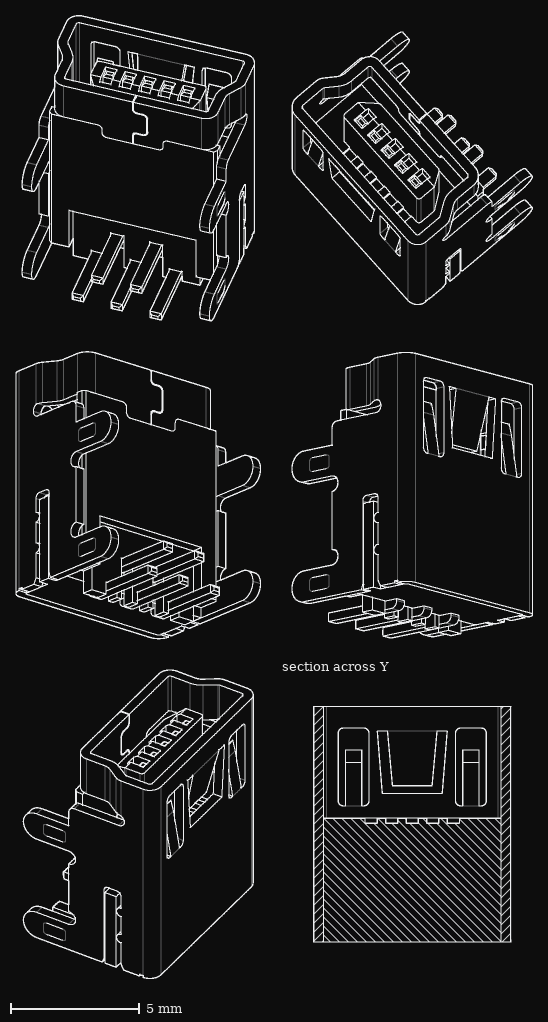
import cadquery as cq
import math


TOTAL_HEIGHT = 9.7
SHELL_WIDTH = 7.7
SHELL_DEPTH = 3.92
SHELL_HEIGHT = 9.2
WALL = 0.4
BEND_RADIUS = 0.5
SHELL_BOTTOM = TOTAL_HEIGHT - SHELL_HEIGHT
HALF_WIDTH = SHELL_WIDTH / 2
INNER_HALF_WIDTH = HALF_WIDTH - WALL
INNER_BACK = SHELL_DEPTH - WALL
INNER_BEND_RADIUS = BEND_RADIUS - WALL

MOUTH_HEIGHT = 1.7
MOUTH_BOTTOM = TOTAL_HEIGHT - MOUTH_HEIGHT
MOUTH_FRONT_HALF_WIDTH = 3.35
SHOULDER_TOP_Y = 2.24
SHOULDER_LOW_Y = 1.5
MOUTH_TAB_WIDTH = 2.5
MOUTH_TAB_LENGTH = 0.58
MOUTH_TAB_RADIUS = 0.19

SEAM_GAP = 0.04
SEAM_KNOB_LENGTH = 0.58
SEAM_KNOB_TOP = 9.12
SEAM_KNOB_BOTTOM = 8.04
SEAM_RADIUS = 0.17

SLIT_HEIGHT = 0.51
SLIT_END_Y = 2.55
SIDE_CORNER_RADIUS = 0.25

LEG_REACH = 2.09
LEG_WIDTH = 1.24
UPPER_LEG_Z = 5.94
LOWER_LEG_Z = SHELL_BOTTOM + LEG_WIDTH / 2
RELIEF_RADIUS = 0.31
DIMPLE_LENGTH = 1.02
DIMPLE_WIDTH = 0.55
DIMPLE_HEIGHT = 0.12
DIMPLE_CORNER_RADIUS = 0.13
DIMPLE_Y = -0.65

GRIP_SLOT_BACK = 2.4
GRIP_SLOT_FRONT = 1.61
GRIP_SLOT_TOP = 4.25
GRIP_SLOT_RADIUS = 0.19
GRIP_BARB_RADIUS = 0.2
GRIP_BARB_HEIGHTS = (1.99, 3.27)
GRIP_FLARE = 0.13
GRIP_FLARE_HEIGHT = 0.24
GRIP_LEAD_IN = 0.08
GRIP_LEAD_IN_HEIGHT = 0.2
EDGE_NOTCH_LENGTH = 0.165
EDGE_NOTCH_HEIGHT = 0.08

LATCH_TOP = 8.73
LATCH_BOTTOM = 6.6
LATCH_TOP_HALF_WIDTH = 0.97
LATCH_TIP_HALF_WIDTH = 0.78
LATCH_SIDE_GAP = 0.39
LATCH_END_GAP = 0.29
LATCH_REACH = 0.47

FINGER_X = 2.29
FINGER_WIDTH = 0.64
FINGER_WINDOW_WIDTH = 1.19
FINGER_WINDOW_TOP = 8.85
FINGER_WINDOW_BOTTOM = 5.82
FINGER_WINDOW_RADIUS = 0.19
FINGER_TIP_Z = 8.0
FINGER_PEAK_Z = 7.52
FINGER_REACH = 0.28

FLOOR_Z = 5.335
FRONT_CHAMFER = 0.12
RIB_BACK = 2.17
RIB_FRONT = 1.66
RIB_TOP = 3.96
LIP_BOTTOM = 0.93
FOOT_WIDTH = 5.22
FOOT_FRONT = 0.49
FOOT_BACK = 1.01
FOOT_RECESS_TOP = 2.94

TONGUE_TOP = 9.0
TONGUE_HALF_WIDTH = 2.26
TONGUE_FRONT_HALF_WIDTH = 1.77
TONGUE_BACK = 2.42
TONGUE_BEVEL_Y = 1.6
TONGUE_FRONT = 0.91
TONGUE_RADIUS = 0.13
TONGUE_BEVEL_DROP = 0.485

PITCH = 0.8
CONTACT_COUNT = 5
CONTACT_WIDTH = 0.47
CONTACT_THICKNESS = 0.35
CONTACT_TIP_CHAMFER = 0.1
PIN_END_Y = -2.06
LOWER_PIN_BACK = 1.59
LOWER_PIN_BEND_RADIUS = 0.27
UPPER_PIN_TOP = 1.72
PIN_NOTCH_WIDTH = 0.55
POCKET_BACK = 2.18
POCKET_FRONT = 1.45
POCKET_BOTTOM = 8.15
CONTACT_TIP_Z = 8.89
FLOOR_RECESS_BACK = 2.84
FLOOR_RECESS_DEPTH = 0.19


def block(x0, x1, y0, y1, z0, z1):
    """Box between two opposite corners."""
    return cq.Workplane("XY").box(x1 - x0, y1 - y0, z1 - z0, centered=False).translate((x0, y0, z0))


def centred_block(width, y0, y1, z0, z1):
    """Box that is symmetric about X = 0."""
    return block(-width / 2, width / 2, y0, y1, z0, z1)


def side_plate(points, x0, x1):
    """Outline of (Y, Z) points, extruded along X from x0 to x1."""
    return cq.Workplane("YZ").polyline(points).close().extrude(x1 - x0).translate((x0, 0, 0))


def front_plate(points, y0, y1):
    """Outline of (X, Z) points, extruded along Y from y0 to y1."""
    return cq.Workplane("XZ").polyline(points).close().extrude(y0 - y1).translate((0, y0, 0))


def mirrored_points(right_points):
    """Closed outline symmetric about X = 0 from its right half."""
    return right_points + [(-x, y) for x, y in reversed(right_points)]


def both_sides(solid):
    """The solid together with its mirror image about X = 0."""
    return solid.union(solid.mirror("YZ"))


def mouth_front_tab():
    """Drop-down tab in the middle of the front wall, with rounded roots and corners."""
    half = MOUTH_TAB_WIDTH / 2
    margin = 2 * MOUTH_TAB_RADIUS
    outline = mirrored_points([
        (half, MOUTH_BOTTOM - MOUTH_TAB_LENGTH),
        (half, MOUTH_BOTTOM),
        (half + margin, MOUTH_BOTTOM),
        (half + margin, MOUTH_BOTTOM + margin),
    ])
    rounded = cq.selectors.BoxSelector(
        (-half - 0.1, -0.1, MOUTH_BOTTOM - MOUTH_TAB_LENGTH - 0.1), (half + 0.1, WALL + 0.1, MOUTH_BOTTOM + 0.1)
    )
    return front_plate(outline, 0, WALL).edges("|Y").edges(rounded).fillet(MOUTH_TAB_RADIUS)


def seam():
    """Thin gap that follows the interlocking ends of the bent sheet."""
    left_end = -SEAM_KNOB_LENGTH
    bottom = MOUTH_BOTTOM - MOUTH_TAB_LENGTH - 0.1
    top = TOTAL_HEIGHT + 0.1
    outline = [
        (left_end, bottom), (0, bottom),
        (0, SEAM_KNOB_BOTTOM), (SEAM_KNOB_LENGTH, SEAM_KNOB_BOTTOM),
        (SEAM_KNOB_LENGTH, SEAM_KNOB_TOP), (0, SEAM_KNOB_TOP),
        (0, top), (left_end, top),
    ]
    knob_corners = cq.selectors.BoxSelector(
        (-0.1, -0.1, SEAM_KNOB_BOTTOM - 0.1), (SEAM_KNOB_LENGTH + 0.1, WALL + 0.1, SEAM_KNOB_TOP + 0.1)
    )
    left_end_of_sheet = front_plate(outline, 0, WALL).edges("|Y").edges(knob_corners).fillet(SEAM_RADIUS)
    grown = left_end_of_sheet.faces("<Y").wires().toPending().offset2D(SEAM_GAP).extrude(-WALL)
    return grown.cut(left_end_of_sheet).intersect(block(-0.1, 2 * SEAM_KNOB_LENGTH, 0, WALL, bottom, top))


def mouth_prism(inset):
    """Prism with the outline of the mouth, moved inwards by the inset."""
    shoulder_angle = math.atan2(HALF_WIDTH - MOUTH_FRONT_HALF_WIDTH, SHOULDER_TOP_Y - SHOULDER_LOW_Y)
    shoulder_rise = inset * math.tan(shoulder_angle / 2)
    low_y = SHOULDER_LOW_Y + shoulder_rise
    outline = mirrored_points([
        (MOUTH_FRONT_HALF_WIDTH - inset, inset),
        (MOUTH_FRONT_HALF_WIDTH - inset, low_y),
        (HALF_WIDTH - inset, SHOULDER_TOP_Y + shoulder_rise),
        (HALF_WIDTH - inset, SHELL_DEPTH - inset),
    ])
    hollow_bends = cq.selectors.BoxSelector(
        (-HALF_WIDTH, low_y - 0.1, 0), (HALF_WIDTH, low_y + 0.1, TOTAL_HEIGHT)
    )
    vertical = cq.selectors.StringSyntaxSelector("|Z")
    prism = cq.Workplane("XY").workplane(offset=MOUTH_BOTTOM).polyline(outline).close().extrude(MOUTH_HEIGHT)
    prism = prism.edges(vertical - hollow_bends).fillet(BEND_RADIUS - inset)
    return prism.edges(vertical).edges(hollow_bends).fillet(BEND_RADIUS + inset)


def sheet_body():
    """Closed tube around the plug opening above a sleeve that is open towards the board."""
    sleeve = centred_block(SHELL_WIDTH, 0, SHELL_DEPTH, SHELL_BOTTOM, MOUTH_BOTTOM)
    sleeve = sleeve.edges("|Z and >Y").fillet(BEND_RADIUS)
    sleeve_cavity = centred_block(2 * INNER_HALF_WIDTH, 0, INNER_BACK, SHELL_BOTTOM, MOUTH_BOTTOM)
    sleeve_cavity = sleeve_cavity.edges("|Z and >Y").fillet(INNER_BEND_RADIUS)
    body = mouth_prism(0).union(sleeve).cut(sleeve_cavity).cut(mouth_prism(WALL))
    return body.union(mouth_front_tab()).cut(seam())


def side_slit():
    """Slit under one side of the mouth, with a round end and a rounded wall corner below it."""
    bottom = MOUTH_BOTTOM - SLIT_HEIGHT
    slit = block(INNER_HALF_WIDTH, HALF_WIDTH, 0, SLIT_END_Y, bottom, MOUTH_BOTTOM)
    slit = slit.edges("|X and >Y").fillet(SIDE_CORNER_RADIUS)
    radius = SIDE_CORNER_RADIUS
    corner = block(INNER_HALF_WIDTH, HALF_WIDTH, 0, radius, bottom - radius, bottom)
    rounding = cq.Workplane("YZ").center(radius, bottom - radius).circle(radius).extrude(HALF_WIDTH)
    return slit.union(corner.cut(rounding))


def leg(z):
    """Round-ended board leg."""
    overlap = LEG_WIDTH
    plate = block(INNER_HALF_WIDTH, HALF_WIDTH, -LEG_REACH, overlap, z - LEG_WIDTH / 2, z + LEG_WIDTH / 2)
    return plate.edges("|X and <Y").fillet(LEG_WIDTH / 2 - 0.001)


def dimple(z):
    """Smooth dome over a rounded rectangle, on a base that sinks through the sheet."""
    half_length = DIMPLE_LENGTH / 2
    half_width = DIMPLE_WIDTH / 2
    base = block(INNER_HALF_WIDTH, HALF_WIDTH, -half_length, half_length, -half_width, half_width)
    base = base.edges("|X").fillet(DIMPLE_CORNER_RADIUS).translate((0, DIMPLE_Y, z))
    rim = base.faces(">X").edges().vals()
    peak = cq.Vector(HALF_WIDTH + DIMPLE_HEIGHT, DIMPLE_Y, z)
    dome = cq.Face.makeNSidedSurface(
        rim, [peak], degree=2, nbPtsOnCur=6, nbIter=1, maxDeg=5, maxSegments=2
    )
    faces = base.faces("not(>X)").vals() + [dome]
    return cq.Workplane(cq.Solid.makeSolid(cq.Shell.makeShell(faces)))


def leg_reliefs():
    """Half-round notches in the wall edge, below the upper leg and above the lower leg."""
    heights = (
        UPPER_LEG_Z - LEG_WIDTH / 2 - RELIEF_RADIUS,
        LOWER_LEG_Z + LEG_WIDTH / 2 + RELIEF_RADIUS,
    )
    points = [(0, z) for z in heights]
    notches = cq.Workplane("YZ").pushPoints(points).circle(RELIEF_RADIUS).extrude(WALL)
    return notches.translate((INNER_HALF_WIDTH, 0, 0))


def grip_slot():
    """Open slot with two barbs on its back edge and widened at the bottom."""
    bottom = SHELL_BOTTOM
    slot = block(INNER_HALF_WIDTH, HALF_WIDTH, GRIP_SLOT_FRONT, GRIP_SLOT_BACK, bottom, GRIP_SLOT_TOP)
    slot = slot.edges("|X and >Z").fillet(GRIP_SLOT_RADIUS)
    points = [(GRIP_SLOT_BACK, z) for z in GRIP_BARB_HEIGHTS]
    barbs = cq.Workplane("YZ").pushPoints(points).circle(GRIP_BARB_RADIUS).extrude(HALF_WIDTH)
    flare = side_plate(
        [(GRIP_SLOT_BACK, bottom), (GRIP_SLOT_BACK + GRIP_FLARE, bottom),
         (GRIP_SLOT_BACK, bottom + GRIP_FLARE_HEIGHT)],
        INNER_HALF_WIDTH, HALF_WIDTH,
    )
    lead_in = side_plate(
        [(GRIP_SLOT_FRONT, bottom), (GRIP_SLOT_FRONT - GRIP_LEAD_IN, bottom),
         (GRIP_SLOT_FRONT, bottom + GRIP_LEAD_IN_HEIGHT)],
        INNER_HALF_WIDTH, HALF_WIDTH,
    )
    return slot.cut(barbs).union(flare).union(lead_in)


def edge_notch():
    """Small step in the bottom edge, next to the back bend."""
    back = SHELL_DEPTH - BEND_RADIUS
    top = SHELL_BOTTOM + EDGE_NOTCH_HEIGHT
    return block(INNER_HALF_WIDTH, HALF_WIDTH, back - EDGE_NOTCH_LENGTH, back, SHELL_BOTTOM, top)


def latch_window():
    """Tapered opening around the latch tongue."""
    outline = mirrored_points([
        (LATCH_TIP_HALF_WIDTH + LATCH_SIDE_GAP, LATCH_BOTTOM - LATCH_END_GAP),
        (LATCH_TOP_HALF_WIDTH + LATCH_SIDE_GAP, LATCH_TOP),
    ])
    return front_plate(outline, INNER_BACK, SHELL_DEPTH)


def latch():
    """Tapered tongue that leans into the cavity from its upper root."""
    sheet = side_plate(
        [(SHELL_DEPTH, LATCH_TOP), (INNER_BACK, LATCH_TOP),
         (INNER_BACK - LATCH_REACH, LATCH_BOTTOM), (SHELL_DEPTH - LATCH_REACH, LATCH_BOTTOM)],
        -LATCH_TOP_HALF_WIDTH, LATCH_TOP_HALF_WIDTH,
    )
    outline = mirrored_points([
        (LATCH_TIP_HALF_WIDTH, LATCH_BOTTOM),
        (LATCH_TOP_HALF_WIDTH, LATCH_TOP),
    ])
    return sheet.intersect(front_plate(outline, INNER_BACK - LATCH_REACH, SHELL_DEPTH))


def finger_window():
    """Rounded opening around one spring finger."""
    half = FINGER_WINDOW_WIDTH / 2
    window = block(
        FINGER_X - half, FINGER_X + half, INNER_BACK, SHELL_DEPTH, FINGER_WINDOW_BOTTOM, FINGER_WINDOW_TOP
    )
    return window.edges("|Y").fillet(FINGER_WINDOW_RADIUS)


def finger():
    """Spring finger that bows into the cavity and turns back at its tip."""
    half = FINGER_WIDTH / 2
    return side_plate(
        [(INNER_BACK, FINGER_WINDOW_BOTTOM), (INNER_BACK - FINGER_REACH, FINGER_PEAK_Z),
         (INNER_BACK, FINGER_TIP_Z), (SHELL_DEPTH - FINGER_REACH, FINGER_PEAK_Z),
         (SHELL_DEPTH, FINGER_WINDOW_BOTTOM)],
        FINGER_X - half, FINGER_X + half,
    )


def make_shell():
    shell = sheet_body()
    shell = shell.cut(both_sides(side_slit()))
    shell = shell.union(both_sides(leg(UPPER_LEG_Z))).union(both_sides(leg(LOWER_LEG_Z)))
    shell = shell.cut(both_sides(leg_reliefs()))
    shell = shell.cut(both_sides(grip_slot()))
    shell = shell.cut(both_sides(edge_notch()))
    shell = shell.cut(latch_window()).union(latch())
    shell = shell.cut(both_sides(finger_window())).union(both_sides(finger()))
    for z in (UPPER_LEG_Z, LOWER_LEG_Z):
        shell = shell.union(both_sides(dimple(z)))
    return shell


def housing_core():
    """Solid lower part with a front wall that closes the sleeve up to the mouth."""
    core = centred_block(2 * INNER_HALF_WIDTH, 0, INNER_BACK, SHELL_BOTTOM, MOUTH_BOTTOM)
    core = core.edges("|Z and >Y").fillet(INNER_BEND_RADIUS)
    core = core.edges("|Z and <Y").chamfer(FRONT_CHAMFER)
    core = core.cut(centred_block(2 * INNER_HALF_WIDTH, WALL, INNER_BACK, FLOOR_Z, MOUTH_BOTTOM))
    return core.cut(mouth_front_tab())


def housing_foot():
    """Slab behind the front recess that reaches the lowest point."""
    return centred_block(FOOT_WIDTH, FOOT_FRONT, FOOT_BACK, 0, FOOT_RECESS_TOP)


def side_rib():
    """Rib that fills the front part of the grip slot."""
    return block(INNER_HALF_WIDTH, HALF_WIDTH, RIB_FRONT, RIB_BACK, SHELL_BOTTOM, RIB_TOP)


def tongue():
    """Contact carrier with a narrowing front and a bevelled tip."""
    outline = mirrored_points([
        (TONGUE_FRONT_HALF_WIDTH, TONGUE_FRONT),
        (TONGUE_HALF_WIDTH, TONGUE_BEVEL_Y),
        (TONGUE_HALF_WIDTH, TONGUE_BACK),
    ])
    carrier = cq.Workplane("XY").workplane(offset=FLOOR_Z).polyline(outline).close()
    carrier = carrier.extrude(TONGUE_TOP - FLOOR_Z).edges("|Z").fillet(TONGUE_RADIUS)
    bevel = side_plate(
        [(TONGUE_BEVEL_Y, TONGUE_TOP), (TONGUE_FRONT, TONGUE_TOP),
         (TONGUE_FRONT, TONGUE_TOP - TONGUE_BEVEL_DROP)],
        -TONGUE_HALF_WIDTH, TONGUE_HALF_WIDTH,
    )
    return carrier.cut(bevel)


def contact_xs(first):
    """X of every second contact, starting from the given one."""
    middle = (CONTACT_COUNT - 1) / 2
    return [(i - middle) * PITCH for i in range(first, CONTACT_COUNT, 2)]


def pin_notch(x, top):
    """Notch in the foot that clears one pin, open at the bottom."""
    half = PIN_NOTCH_WIDTH / 2
    return block(x - half, x + half, FOOT_FRONT, FOOT_BACK, 0, top)


def pin(x, back, top):
    """Straight pin towards the board with a tapered tip."""
    half = CONTACT_WIDTH / 2
    bar = block(x - half, x + half, PIN_END_Y, back, top - CONTACT_THICKNESS, top)
    return bar.faces("<Y").edges().chamfer(CONTACT_TIP_CHAMFER)


def contact_pocket(x):
    """Opening in the tongue tip in front of one contact."""
    half = CONTACT_WIDTH / 2
    return block(x - half, x + half, POCKET_FRONT, POCKET_BACK, POCKET_BOTTOM, TONGUE_TOP)


def contact_tip(x):
    """Tapered upper end of one contact inside its pocket."""
    half = CONTACT_WIDTH / 2
    tip = block(x - half, x + half, POCKET_BACK - CONTACT_THICKNESS, POCKET_BACK, POCKET_BOTTOM, CONTACT_TIP_Z)
    return tip.faces(">Z").edges().chamfer(CONTACT_TIP_CHAMFER)


def floor_recess(x):
    """Recess in the cavity floor behind the tongue."""
    half = CONTACT_WIDTH / 2
    return block(x - half, x + half, TONGUE_BACK, FLOOR_RECESS_BACK, FLOOR_Z - FLOOR_RECESS_DEPTH, FLOOR_Z)


def make_housing():
    housing = housing_core()
    housing = housing.cut(centred_block(2 * INNER_HALF_WIDTH, 0, FOOT_BACK, SHELL_BOTTOM, LIP_BOTTOM))
    housing = housing.cut(centred_block(FOOT_WIDTH, 0, FOOT_FRONT, SHELL_BOTTOM, FOOT_RECESS_TOP))
    housing = housing.union(housing_foot())
    housing = housing.union(both_sides(side_rib()))
    housing = housing.union(tongue())
    lower_xs = contact_xs(0)
    upper_xs = contact_xs(1)
    for x in lower_xs:
        bent_pin = pin(x, LOWER_PIN_BACK, SHELL_BOTTOM)
        bent_pin = bent_pin.edges("|X and >Y and <Z").fillet(LOWER_PIN_BEND_RADIUS)
        housing = housing.cut(pin_notch(x, SHELL_BOTTOM)).union(bent_pin)
    for x in upper_xs:
        housing = housing.cut(pin_notch(x, UPPER_PIN_TOP)).union(pin(x, FOOT_BACK, UPPER_PIN_TOP))
    for x in lower_xs + upper_xs:
        housing = housing.cut(contact_pocket(x)).union(contact_tip(x))
        housing = housing.cut(floor_recess(x))
    return housing


shell = make_shell()
housing = make_housing()
result = cq.Compound.makeCompound([*shell.solids().vals(), *housing.solids().vals()])